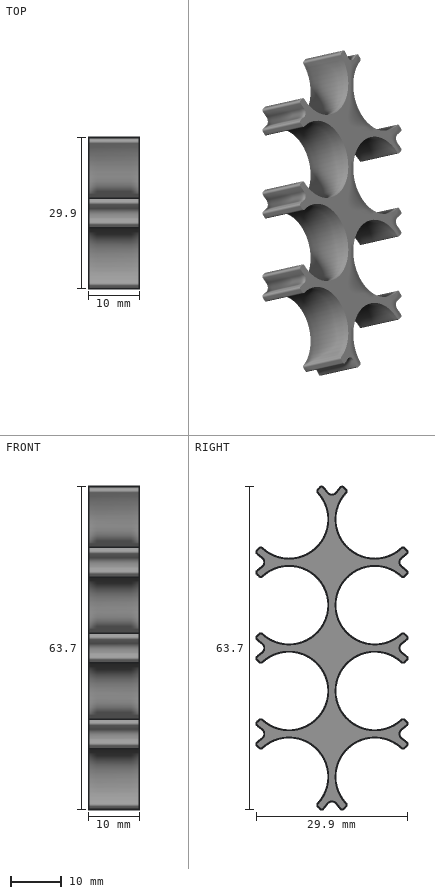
import cadquery as cq
import math

thickness = 10.0
width = 29.85
height = 63.65
web = 1.45
prong = 1.5
tip_radius = 0.4
notch_depth = 1.6
hub_count = 3

pitch = (height - width) / (hub_count - 1)
half_pitch = pitch / 2
seat_radius = (pitch - web) / 2
arm_reach = width / 2


def seat_point(radius, angle):
    """Point (out, side) around a seat centre; "out" runs along the arm, "side" across it."""
    return (
        half_pitch + radius * math.sin(angle),
        half_pitch - radius * math.cos(angle),
    )


flank_radius = seat_radius + prong
inner_corner_radius = seat_radius + tip_radius
outer_corner_radius = flank_radius - tip_radius
corner_rise = arm_reach - tip_radius - half_pitch
flank_angle = math.asin(corner_rise / outer_corner_radius)
cut_angle = flank_angle + math.asin(tip_radius / outer_corner_radius)
seat_angle = cut_angle - math.asin(tip_radius / inner_corner_radius)

seat_end = seat_point(seat_radius, seat_angle)
cut_start = seat_point(math.sqrt(inner_corner_radius ** 2 - tip_radius ** 2), cut_angle)
cut_end = seat_point(math.sqrt(outer_corner_radius ** 2 - tip_radius ** 2), cut_angle)
flank_start = seat_point(flank_radius, flank_angle)

floor_out = arm_reach - notch_depth
floor_rise = floor_out - half_pitch
floor_radius = (floor_rise ** 2 + half_pitch ** 2 - flank_radius ** 2) / (2 * (flank_radius - floor_rise))
floor_angle = math.acos(half_pitch / (flank_radius + floor_radius))
flank_end = seat_point(flank_radius, floor_angle)

DIAGONAL = math.sqrt(0.5)

side_seat_middle = (half_pitch - seat_radius, half_pitch)
corner_seat_middle = (
    half_pitch - seat_radius * DIAGONAL,
    half_pitch - seat_radius * DIAGONAL,
)


def mirrored(point):
    return (point[0], -point[1])


def place(point, arm):
    """Turn an (out, side) point into (Y, Z) for an arm given as (angle, hub height)."""
    angle, hub_z = arm
    out, side = point
    cosine = math.cos(math.radians(angle))
    sine = math.sin(math.radians(angle))
    return (out * cosine - side * sine, hub_z + out * sine + side * cosine)


def add_fork(outline, arm):
    """Draw the two prongs and the notch between them, each arc tangent to the last edge."""

    def arc(path, point):
        return path.tangentArcPoint(place(point, arm), relative=False)

    def line(path, point):
        return path.lineTo(*place(point, arm))

    outline = arc(outline, mirrored(cut_start))
    outline = line(outline, mirrored(cut_end))
    for point in (mirrored(flank_start), mirrored(flank_end), flank_end, flank_start, cut_end):
        outline = arc(outline, point)
    outline = line(outline, cut_start)
    return arc(outline, seat_end)


def add_seat(outline, arm, next_arm):
    """Draw the circular seat from one arm to the next."""
    same_direction = arm[0] == next_arm[0]
    middle = side_seat_middle if same_direction else corner_seat_middle
    return outline.threePointArc(place(middle, arm), place(mirrored(seat_end), next_arm))


hub_heights = [(i - (hub_count - 1) / 2) * pitch for i in range(hub_count)]
arms = [(0, z) for z in hub_heights]
arms.append((90, hub_heights[-1]))
arms += [(180, z) for z in reversed(hub_heights)]
arms.append((270, hub_heights[0]))

outline = cq.Workplane("YZ").moveTo(*place(seat_end, arms[-1]))
for previous_arm, arm in zip(arms[-1:] + arms[:-1], arms):
    outline = add_seat(outline, previous_arm, arm)
    outline = add_fork(outline, arm)

result = outline.close().extrude(thickness / 2, both=True)